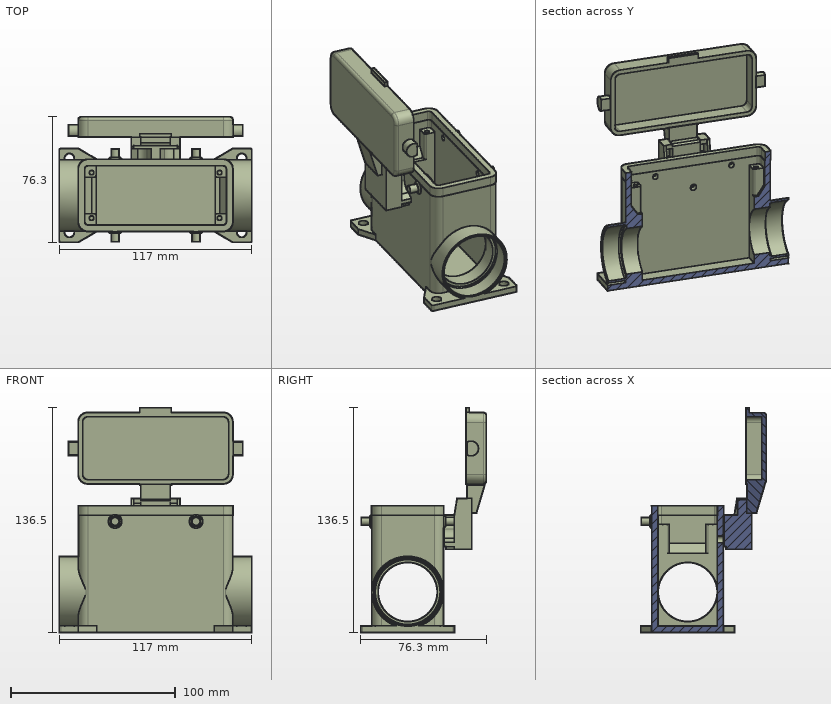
import cadquery as cq
import math

TOTAL_HEIGHT = 136.5
BOX_LENGTH = 94.0
BOX_DEPTH = 44.0
BOX_HEIGHT = 77.0
BOX_CORNER = 6.0
RIM_HEIGHT = 5.9
RIM_STEP = 0.1
WALL = 4.0
FLOOR = 4.0
CAVITY_CORNER = 2.0
CAVITY_LENGTH = BOX_LENGTH - 2 * WALL
CAVITY_DEPTH = BOX_DEPTH - 2 * WALL

FEET_LENGTH = 117.0
FEET_DEPTH = 57.0
FOOT_THICKNESS = 4.0
FOOT_TAPER_OUTER = 46.8
FOOT_TAPER_INNER = 35.8
FOOT_CORNER = 1.1
SCREW_HOLE_X = 52.3
SCREW_HOLE_Y = 22.5
SCREW_HOLE_RADIUS = 2.9

ENTRY_HEIGHT = 24.6
ENTRY_RADIUS = 21.7
ENTRY_MOUTH_RADIUS = 20.7
ENTRY_SOCKET_RADIUS = 20.2
ENTRY_SEAT_RADIUS = 19.7
ENTRY_BORE_RADIUS = 17.9
ENTRY_SOCKET_DEPTH = 12.0
ENTRY_CHAMFER = ENTRY_MOUTH_RADIUS - ENTRY_SOCKET_RADIUS
ENTRY_SEAT_TAPER = 1.1

POST_LENGTH = 7.0
POST_DEPTH = 7.0
POST_DROP = 11.3
POST_CORNER = 1.1
POST_HOLE_RADIUS = 1.4
POST_HOLE_DEPTH = 16.4
POST_HOLE_INSET = 4.2
LEDGE_HEIGHT = 48.2
LEDGE_SLOPE_RISE = 6.1
LEDGE_SLOPE_RUN = 4.2

PEG_X = 24.6
PEG_HEIGHT = 67.4
PEG_RADIUS = 2.5
PEG_TIP_Y = 28.3
PEG_COLLAR_RADIUS = 4.1
PEG_COLLAR_TIP_RADIUS = 3.0
PEG_COLLAR_LENGTH = 1.1
PEG_BORE_RADIUS = 1.6
RIVET_HOLE_RADIUS = 1.9
RIVET_HOLE_HEIGHT = 56.5

BRACKET_LENGTH = 29.8
BRACKET_BOTTOM = 50.5
BRACKET_TOP = 81.4
BRACKET_BACK_Y = 38.9
BRACKET_FRONT_Y = 28.3
BRACKET_TOP_FRONT_Y = 29.9
BRACKET_LIP_Y = 23.2
BRACKET_LIP_THICKNESS = 1.6
BRACKET_LIP_INSET = 0.5
CHEEK = 1.6
CHEEK_STEP_Y = 30.2
CHEEK_POCKET_BACK_Y = 35.5
CHEEK_POCKET_TOP = 78.5
BAR_TOP = 80.8
BAR_CHAMFER_RUN = 1.9
BAR_CHAMFER_DROP = 0.8

PEDESTAL_TOP = 71.4
PEDESTAL_TOP_HALF = 2.7
PEDESTAL_NECK_HALF = 5.2
PEDESTAL_NECK_Z = 63.0
PEDESTAL_FLARE_HALF = 10.9
PEDESTAL_FLARE_Z = 57.0
PEDESTAL_EDGE_Z = 54.9

COVER_LENGTH = BOX_LENGTH
COVER_BOTTOM = 90.1
COVER_TOP = 133.6
COVER_FRONT_Y = 35.4
COVER_BACK_Y = 47.8
COVER_CORNER = 6.0
COVER_BACK_FILLET = 2.0
COVER_RIM = 2.7
COVER_BACK_WALL = 2.9
COVER_RECESS_CORNER = COVER_CORNER - COVER_RIM
TAB_LENGTH = 19.2
TAB_THICKNESS = 2.0
STUD_SPAN = 105.9
STUD_RADIUS = 4.5
STUD_Y = 38.5
STUD_FLAT_Y = 36.0
STUD_HEIGHT = 111.7
ARM_LENGTH = 18.0
ARM_FRONT_Y = 35.9
ARM_TIP_Y = 41.8
ARM_BOTTOM = 72.5
ARM_FOOT_LENGTH = 19.4
ARM_FOOT_HEIGHT = 0.8
ARM_FOOT_BACK_Y = 45.7

ENDS = (-1, 1)
SIDES = (-1, 1)


def cylinder_x(radius, x_start, x_end, y, z):
    """Cylinder along X between two stations."""
    return cq.Workplane("YZ", origin=(x_start, y, z)).circle(radius).extrude(x_end - x_start)


def block(x_range, y_range, z_range):
    """Box between two limits on each axis."""
    sizes = [high - low for low, high in (x_range, y_range, z_range)]
    return cq.Workplane(origin=(x_range[0], y_range[0], z_range[0])).box(*sizes, centered=False)


def side_profile(points, length):
    """(Y, Z) outline extruded along X, centred on X = 0."""
    return cq.Workplane("YZ").polyline(points).close().extrude(length / 2, both=True)


def rounded_block(length, depth, corner, bottom, top):
    """Upright block with rounded vertical edges, centred on the Z axis."""
    body = cq.Workplane(origin=(0, 0, bottom)).rect(length, depth).extrude(top - bottom)
    return body.edges("|Z").fillet(corner)


def make_shell():
    """Outer box; the rim band at the top stands out slightly."""
    rim_bottom = BOX_HEIGHT - RIM_HEIGHT
    lower_length = BOX_LENGTH - 2 * RIM_STEP
    lower_depth = BOX_DEPTH - 2 * RIM_STEP
    lower = rounded_block(lower_length, lower_depth, BOX_CORNER - RIM_STEP, 0, rim_bottom)
    return lower.union(rounded_block(BOX_LENGTH, BOX_DEPTH, BOX_CORNER, rim_bottom, BOX_HEIGHT))


def make_cavity():
    """Inner space; it widens slightly inside the rim band."""
    rim_bottom = BOX_HEIGHT - RIM_HEIGHT
    lower_length = CAVITY_LENGTH - 2 * RIM_STEP
    lower_depth = CAVITY_DEPTH - 2 * RIM_STEP
    lower = rounded_block(lower_length, lower_depth, CAVITY_CORNER - RIM_STEP, FLOOR, rim_bottom)
    return lower.union(rounded_block(CAVITY_LENGTH, CAVITY_DEPTH, CAVITY_CORNER, rim_bottom, BOX_HEIGHT))


def make_foot(end):
    """Tapered base plate with two screw holes at one end."""
    half_depth = FEET_DEPTH / 2
    outline = [
        (end * FEET_LENGTH / 2, -half_depth),
        (end * FEET_LENGTH / 2, half_depth),
        (end * FOOT_TAPER_OUTER, half_depth),
        (end * FOOT_TAPER_INNER, BOX_DEPTH / 2),
        (end * FOOT_TAPER_INNER, -BOX_DEPTH / 2),
        (end * FOOT_TAPER_OUTER, -half_depth),
    ]
    foot = cq.Workplane().polyline(outline).close().extrude(FOOT_THICKNESS)
    foot = foot.edges("|Z").edges(">X" if end > 0 else "<X").fillet(FOOT_CORNER)
    holes = (
        cq.Workplane()
        .pushPoints([(end * SCREW_HOLE_X, side * SCREW_HOLE_Y) for side in SIDES])
        .circle(SCREW_HOLE_RADIUS)
        .extrude(FOOT_THICKNESS)
    )
    return foot.cut(holes)


def make_end_fitting(end):
    """Sloped ledge and two corner posts against one end wall."""
    wall_x = end * CAVITY_LENGTH / 2
    face_x = end * (CAVITY_LENGTH / 2 - POST_LENGTH)
    slope_x = end * (CAVITY_LENGTH / 2 - LEDGE_SLOPE_RUN)
    outline = [
        (wall_x, FLOOR),
        (face_x, FLOOR),
        (face_x, LEDGE_HEIGHT),
        (slope_x, LEDGE_HEIGHT),
        (wall_x, LEDGE_HEIGHT + LEDGE_SLOPE_RISE),
    ]
    fitting = cq.Workplane("XZ").polyline(outline).close().extrude(CAVITY_DEPTH / 2, both=True)
    post_top = BOX_HEIGHT - POST_DROP
    for side in SIDES:
        y_limits = sorted((side * CAVITY_DEPTH / 2, side * (CAVITY_DEPTH / 2 - POST_DEPTH)))
        post = block(sorted((wall_x, face_x)), y_limits, (FLOOR, post_top))
        free_corner = post.edges("|Z").edges("<X" if end > 0 else ">X").edges("<Y" if side > 0 else ">Y")
        fitting = fitting.union(free_corner.fillet(POST_CORNER))
    hole_x = end * (CAVITY_LENGTH / 2 - POST_HOLE_INSET)
    hole_y = CAVITY_DEPTH / 2 - POST_HOLE_INSET
    holes = (
        cq.Workplane(origin=(0, 0, post_top))
        .pushPoints([(hole_x, side * hole_y) for side in SIDES])
        .circle(POST_HOLE_RADIUS)
        .extrude(-POST_HOLE_DEPTH)
    )
    return fitting.cut(holes).intersect(make_cavity())


def make_entry_collar(end):
    """Round collar around one cable entry, sunk into the end wall up to the rounded corners."""
    collar_length = FEET_LENGTH / 2 - (BOX_LENGTH / 2 - BOX_CORNER)
    outer_x = FEET_LENGTH / 2
    return cylinder_x(ENTRY_RADIUS, end * (outer_x - collar_length), end * outer_x, 0, ENTRY_HEIGHT)


def make_entry_bore(end):
    """Stepped bore of one cable entry: socket with a seat, then a hole into the cavity."""
    mouth_x = FEET_LENGTH / 2
    step_x = mouth_x - ENTRY_SOCKET_DEPTH
    inner_x = CAVITY_LENGTH / 2 - POST_LENGTH
    outline = [
        (end * inner_x, 0),
        (end * inner_x, ENTRY_BORE_RADIUS),
        (end * step_x, ENTRY_BORE_RADIUS),
        (end * step_x, ENTRY_SEAT_RADIUS),
        (end * (step_x + ENTRY_SEAT_TAPER), ENTRY_SOCKET_RADIUS),
        (end * (mouth_x - ENTRY_CHAMFER), ENTRY_SOCKET_RADIUS),
        (end * mouth_x, ENTRY_MOUTH_RADIUS),
        (end * mouth_x, 0),
    ]
    profile = cq.Workplane("XY", origin=(0, 0, ENTRY_HEIGHT)).polyline(outline).close()
    return profile.revolve(360, (0, 0, 0), (1, 0, 0))


def make_peg(x, side):
    """Locking peg with a conical collar, standing out of a long wall."""
    wall_y = BOX_DEPTH / 2
    collar_y = wall_y + PEG_COLLAR_LENGTH
    outline = [
        (0, side * (wall_y - WALL / 2)),
        (PEG_COLLAR_RADIUS, side * (wall_y - WALL / 2)),
        (PEG_COLLAR_RADIUS, side * wall_y),
        (PEG_COLLAR_TIP_RADIUS, side * collar_y),
        (PEG_RADIUS, side * collar_y),
        (PEG_RADIUS, side * PEG_TIP_Y),
        (0, side * PEG_TIP_Y),
    ]
    profile = cq.Workplane("XY", origin=(x, 0, PEG_HEIGHT)).polyline(outline).close()
    return profile.revolve(360, (0, 0, 0), (0, 1, 0))


def make_wall_holes():
    """Blind bores behind the pegs and the rivet hole of the hinge bracket."""
    cavity_y = CAVITY_DEPTH / 2 - RIM_STEP
    holes = cq.Workplane("XZ", origin=(0, cavity_y, 0)).center(0, RIVET_HOLE_HEIGHT)
    holes = holes.circle(RIVET_HOLE_RADIUS).extrude(-WALL)
    for side in SIDES:
        bores = cq.Workplane("XZ", origin=(0, side * cavity_y, 0))
        bores = bores.pushPoints([(x, PEG_HEIGHT) for x in (-PEG_X, PEG_X)])
        holes = holes.union(bores.circle(PEG_BORE_RADIUS).extrude(-side * WALL))
    return holes


def make_pedestal():
    """Flared pad between the back wall and the hinge bracket."""
    half = BRACKET_LENGTH / 2
    bottom = BRACKET_BOTTOM + BRACKET_LIP_THICKNESS
    diagonal = math.sqrt(0.5)
    flare_run = PEDESTAL_FLARE_HALF - PEDESTAL_NECK_HALF
    flare_rise = PEDESTAL_NECK_Z - PEDESTAL_FLARE_Z
    arc_x = PEDESTAL_FLARE_HALF - flare_run * diagonal
    arc_z = PEDESTAL_NECK_Z - flare_rise * diagonal
    return (
        cq.Workplane("XZ", origin=(0, BOX_DEPTH / 2, 0))
        .moveTo(-half, bottom)
        .lineTo(half, bottom)
        .lineTo(half, PEDESTAL_EDGE_Z)
        .lineTo(PEDESTAL_FLARE_HALF, PEDESTAL_FLARE_Z)
        .threePointArc((arc_x, arc_z), (PEDESTAL_NECK_HALF, PEDESTAL_NECK_Z))
        .lineTo(PEDESTAL_TOP_HALF, PEDESTAL_TOP)
        .lineTo(-PEDESTAL_TOP_HALF, PEDESTAL_TOP)
        .lineTo(-PEDESTAL_NECK_HALF, PEDESTAL_NECK_Z)
        .threePointArc((-arc_x, arc_z), (-PEDESTAL_FLARE_HALF, PEDESTAL_FLARE_Z))
        .lineTo(-half, PEDESTAL_EDGE_Z)
        .close()
        .extrude(-(BRACKET_FRONT_Y - BOX_DEPTH / 2))
    )


def make_bracket():
    """Hinge bracket: lipped block with a crossbar, pockets in the cheeks and a slot for the cover arm."""
    half = BRACKET_LENGTH / 2
    arm_half = ARM_LENGTH / 2
    pocket_half = half - CHEEK
    lip_half = half - BRACKET_LIP_INSET
    lip_top = BRACKET_BOTTOM + BRACKET_LIP_THICKNESS
    outline = [
        (BRACKET_FRONT_Y, BRACKET_BOTTOM),
        (BRACKET_BACK_Y, BRACKET_BOTTOM),
        (BRACKET_BACK_Y, BRACKET_TOP),
        (BRACKET_TOP_FRONT_Y, BRACKET_TOP),
        (BRACKET_FRONT_Y, PEDESTAL_TOP),
    ]
    lip = block((-lip_half, lip_half), (BRACKET_LIP_Y, BRACKET_FRONT_Y), (BRACKET_BOTTOM, lip_top))
    bracket = side_profile(outline, BRACKET_LENGTH).union(lip)

    front_step = block(
        (-pocket_half, pocket_half), (BRACKET_FRONT_Y, CHEEK_STEP_Y), (PEDESTAL_TOP, BRACKET_TOP)
    )
    arm_slot = block((-arm_half, arm_half), (ARM_FRONT_Y, BRACKET_BACK_Y), (ARM_BOTTOM, BRACKET_TOP))
    bar_relief = side_profile(
        [
            (CHEEK_STEP_Y, BAR_TOP - BAR_CHAMFER_DROP),
            (CHEEK_STEP_Y + BAR_CHAMFER_RUN, BAR_TOP),
            (ARM_FRONT_Y, BAR_TOP),
            (ARM_FRONT_Y, BRACKET_TOP),
            (CHEEK_STEP_Y, BRACKET_TOP),
        ],
        ARM_LENGTH,
    )
    bracket = bracket.cut(front_step).cut(arm_slot).cut(bar_relief)
    for end in ENDS:
        x_limits = sorted((end * arm_half, end * pocket_half))
        y_limits = (BRACKET_FRONT_Y, CHEEK_POCKET_BACK_Y)
        bracket = bracket.cut(block(x_limits, y_limits, (PEDESTAL_TOP, CHEEK_POCKET_TOP)))
    return bracket


def make_housing():
    housing = make_shell()
    for end in ENDS:
        housing = housing.union(make_foot(end)).union(make_entry_collar(end))
    housing = housing.cut(make_cavity())
    for end in ENDS:
        housing = housing.union(make_end_fitting(end))
        housing = housing.cut(make_entry_bore(end))
    for x in (-PEG_X, PEG_X):
        for side in SIDES:
            housing = housing.union(make_peg(x, side))
    housing = housing.union(make_pedestal()).union(make_bracket())
    return housing.cut(make_wall_holes())


def make_cover_shell():
    """Upright tray, open towards -Y, with a rounded back edge."""
    height = COVER_TOP - COVER_BOTTOM
    middle_z = (COVER_TOP + COVER_BOTTOM) / 2
    depth = COVER_BACK_Y - COVER_FRONT_Y
    plane = cq.Workplane("XZ", origin=(0, COVER_FRONT_Y, middle_z))
    shell = plane.rect(COVER_LENGTH, height).extrude(-depth).edges("|Y").fillet(COVER_CORNER)
    shell = shell.faces(">Y").edges().fillet(COVER_BACK_FILLET)
    recess = (
        plane.rect(COVER_LENGTH - 2 * COVER_RIM, height - 2 * COVER_RIM)
        .extrude(-(depth - COVER_BACK_WALL))
        .edges("|Y")
        .fillet(COVER_RECESS_CORNER)
    )
    return shell.cut(recess)


def make_stud(end):
    """Flatted stud on one end of the cover."""
    wall_x = COVER_LENGTH / 2 - COVER_RIM
    tip_x = STUD_SPAN / 2
    stud = cylinder_x(STUD_RADIUS, end * wall_x, end * tip_x, STUD_Y, STUD_HEIGHT)
    waste = block(
        (-tip_x, tip_x),
        (STUD_Y - STUD_RADIUS, STUD_FLAT_Y),
        (STUD_HEIGHT - STUD_RADIUS, STUD_HEIGHT + STUD_RADIUS),
    )
    return stud.cut(waste)


def make_tab():
    """Thin finger tab on the top edge of the cover."""
    return block(
        (-TAB_LENGTH / 2, TAB_LENGTH / 2),
        (COVER_FRONT_Y, COVER_FRONT_Y + TAB_THICKNESS),
        (COVER_TOP - COVER_RIM, TOTAL_HEIGHT),
    )


def make_arm():
    """Tapered arm with a wider foot, reaching from the cover into the bracket slot."""
    root_z = COVER_BOTTOM + COVER_RIM
    outline = [
        (ARM_FRONT_Y, ARM_BOTTOM),
        (ARM_TIP_Y, ARM_BOTTOM),
        (COVER_BACK_Y, root_z),
        (ARM_FRONT_Y, root_z),
    ]
    foot = block(
        (-ARM_FOOT_LENGTH / 2, ARM_FOOT_LENGTH / 2),
        (ARM_FRONT_Y, ARM_FOOT_BACK_Y),
        (COVER_BOTTOM - ARM_FOOT_HEIGHT, COVER_BOTTOM),
    )
    return side_profile(outline, ARM_LENGTH).union(foot)


def make_cover():
    cover = make_cover_shell().union(make_tab()).union(make_arm())
    for end in ENDS:
        cover = cover.union(make_stud(end))
    return cover


housing = make_housing()
cover = make_cover()
result = cq.Compound.makeCompound([housing.solids().val(), cover.solids().val()])